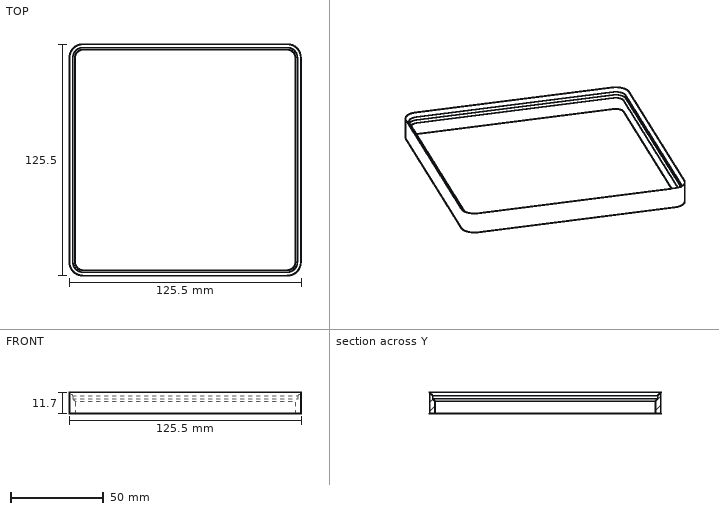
import cadquery as cq

side = 125.5
height = 11.7
corner_radius = 7.5

slope_angle = 45
upper_slope = 1.9
step_height = 1.8
lower_slope = 1.2

upper_slope_bottom = height - upper_slope
lower_slope_top = upper_slope_bottom - step_height
lower_slope_bottom = lower_slope_top - lower_slope


def rounded_prism(inset, bottom, depth, taper=0):
    """Rounded square, inset from the outer outline, extruded upward from a given level.

    A positive taper draws the walls inward and a negative one spreads them outward.
    """
    width = side - 2 * inset
    outline = cq.Sketch().rect(width, width).vertices().fillet(corner_radius - inset)
    return cq.Workplane("XY").workplane(offset=bottom).placeSketch(outline).extrude(depth, taper=taper)


body = rounded_prism(0, 0, height)

bore = rounded_prism(upper_slope + lower_slope, 0, lower_slope_bottom)
lower_flare = rounded_prism(upper_slope + lower_slope, lower_slope_bottom, lower_slope, -slope_angle)
step = rounded_prism(upper_slope, lower_slope_top, step_height)
upper_flare = rounded_prism(upper_slope, upper_slope_bottom, upper_slope, -slope_angle)

result = body.cut(bore).cut(lower_flare).cut(step).cut(upper_flare)